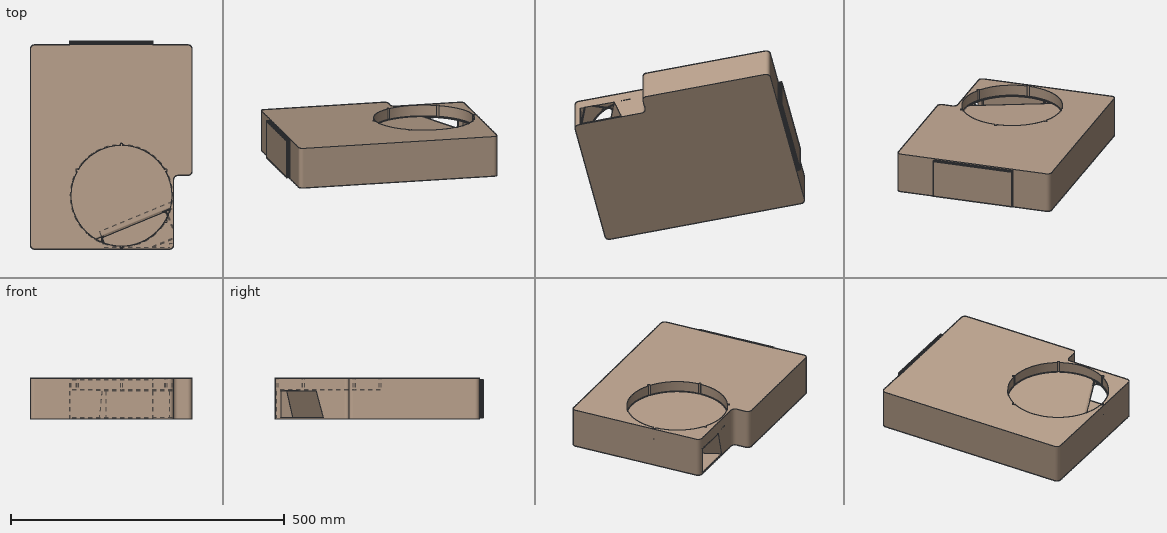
import cadquery as cq
import math

width = 295.88
height = 75.0
total_depth = 381.0
spigot_length = 7.0
body_depth = total_depth - spigot_length
narrow_width = 262.0
shoulder_y = 135.0
corner_radius = 8.0

spigot_width = 152.0
spigot_height = 70.0
spigot_left = 72.0
groove_count = 2
groove_width = 1.4
groove_depth = 0.4
spigot_chamfer = 0.6

recess_x = 166.6
recess_y = 98.0
recess_radius = 92.2
recess_depth = 22.0
undercut_height = 1.5
undercut_width = 1.5
rim_notch_radius = 2.1
rim_notch_reach = 1.7
rim_notch_angles = (-90, -30, 30, 90, 150)

chord_angle = 22.4
chord_offset = 53.2
step_depth = 0.8
step_width = 2.4

mouth_length = 126.5
mouth_width = 50.0
mouth_shift = 0.3
mouth_radius = 5.0
mouth_chamfer_width = 1.8
mouth_chamfer_depth = 0.8
mouth_edge = -chord_offset - step_width - mouth_chamfer_width

wall = 3.0
duct_lean = 14.0
duct_left = -62.0
duct_right = 110.0
duct_width = 70.0


def housing():
    outline = [
        (0, 0),
        (narrow_width, 0),
        (narrow_width, shoulder_y),
        (width, shoulder_y),
        (width, body_depth),
        (0, body_depth),
    ]
    body = cq.Workplane("XY").polyline(outline).close().extrude(height)
    return body.edges("|Z").fillet(corner_radius)


def spigot_slab(inset, start, length):
    """Slab of the spigot section, reduced by inset on all four sides."""
    return (
        cq.Workplane("XY")
        .box(spigot_width - 2 * inset, length, spigot_height - 2 * inset, centered=(True, False, True))
        .translate((spigot_left + spigot_width / 2, body_depth + start, height / 2))
    )


def spigot():
    plug = spigot_slab(0, 0, spigot_length).faces(">Y").chamfer(spigot_chamfer)
    pitch = spigot_length / (groove_count + 0.5)
    for index in range(groove_count):
        start = (index + 0.5) * pitch
        ring = spigot_slab(0, start, groove_width).cut(spigot_slab(groove_depth, start, groove_width))
        plug = plug.cut(ring)
    return plug


def recess():
    floor = cq.Workplane("XY", origin=(recess_x, recess_y, height - recess_depth))
    cutter = floor.circle(recess_radius).extrude(recess_depth)
    undercut = floor.circle(recess_radius + undercut_width).extrude(undercut_height)
    notch = (
        floor.center(recess_radius, 0)
        .slot2D(2 * (rim_notch_reach + rim_notch_radius), 2 * rim_notch_radius)
        .extrude(recess_depth)
    )
    centre = (recess_x, recess_y, 0)
    axis_end = (recess_x, recess_y, 1)
    for angle in rim_notch_angles:
        cutter = cutter.union(notch.rotate(centre, axis_end, angle))
    return cutter.union(undercut)


def chord_plan(depth):
    """Level workplane at a depth below the top, with its x axis along the chord."""
    along = (math.cos(math.radians(chord_angle)), math.sin(math.radians(chord_angle)), 0)
    return cq.Workplane(cq.Plane((recess_x, recess_y, height - depth), along, (0, 0, 1)))


def chord_section():
    """Upright workplane across the chord at the housing base, with its y axis up."""
    along = (math.cos(math.radians(chord_angle)), math.sin(math.radians(chord_angle)), 0)
    across = (-along[1], along[0], 0)
    return cq.Workplane(cq.Plane((recess_x, recess_y, 0), across, along))


def step():
    """Segment of the recess floor beyond the chord, flared at the top to round the lip."""
    top = height - recess_depth
    lip_radius = (step_width**2 + step_depth**2) / (2 * step_depth)
    band = (
        chord_section()
        .moveTo(-recess_radius, top - step_depth)
        .lineTo(-chord_offset - step_width, top - step_depth)
        .radiusArc((-chord_offset, top), lip_radius)
        .lineTo(-recess_radius, top)
        .close()
        .extrude(recess_radius, both=True)
    )
    segment = chord_plan(recess_depth + step_depth).circle(recess_radius).extrude(step_depth)
    return band.intersect(segment)


def mouth():
    """Rounded opening, chamfered over its whole depth."""
    taper = math.degrees(math.atan(mouth_chamfer_width / mouth_chamfer_depth))
    return (
        chord_plan(recess_depth + step_depth)
        .center(mouth_shift, mouth_edge - mouth_width / 2)
        .sketch()
        .rect(mouth_length + 2 * mouth_chamfer_width, mouth_width + 2 * mouth_chamfer_width)
        .vertices()
        .fillet(mouth_radius + mouth_chamfer_width)
        .finalize()
        .extrude(-mouth_chamfer_depth, taper=taper)
    )


def duct():
    """Prism whose back wall leans away from the mouth towards the base."""
    top = height - recess_depth - step_depth - mouth_chamfer_depth
    lean = (top - wall) * math.tan(math.radians(duct_lean))
    return (
        chord_section()
        .workplane(offset=duct_left)
        .moveTo(mouth_edge, top)
        .lineTo(mouth_edge + lean, wall)
        .lineTo(mouth_edge - duct_width, wall)
        .lineTo(mouth_edge - duct_width, top)
        .close()
        .extrude(duct_right - duct_left)
    )


def front_wall():
    """Front wall and rounded corner post that the outlet leaves whole."""
    sheet = cq.Workplane("XY").box(width, wall, height, centered=False)
    post_side = corner_radius + wall
    post = (
        cq.Workplane("XY")
        .box(post_side, post_side, height, centered=False)
        .translate((narrow_width - corner_radius, 0, 0))
    )
    return sheet.union(post)


def outlet():
    housing_space = cq.Workplane("XY").box(width, body_depth, height, centered=False)
    return mouth().union(duct()).intersect(housing_space).cut(front_wall())


result = housing().union(spigot()).cut(recess()).cut(step()).cut(outlet())